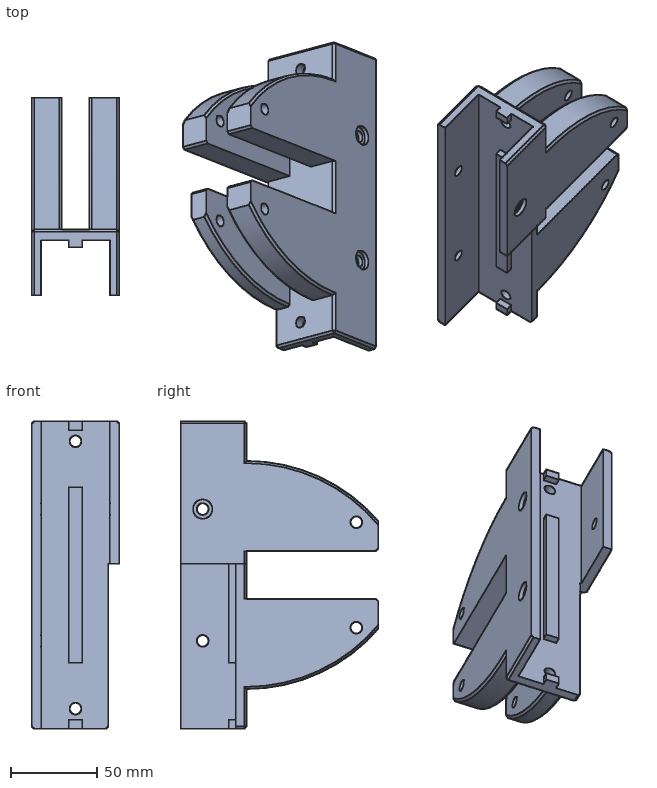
import cadquery as cq
import math


WIDTH = 50.8
DEPTH = 114.26
HEIGHT = 178.05
EDGE_CHAMFER = 1.4

CHANNEL_DEPTH = 38.1
WEB_THICKNESS = 6.35
WALL_THICKNESS = 5.56
SHORT_WALL_BOTTOM_Z = 6.35
NARROW_SIDE_X = 19.05

KEY_WIDTH = 8.0
KEY_HEIGHT = 4.0
END_KEY_LENGTH = 5.4
MIDDLE_KEY_LENGTH = 101.6

FIN_GAP = 15.875
FIN_HALF_HEIGHT = 66.04
FIN_ARC_RADIUS = 100.5
LEFT_SLOT_HALF_HEIGHT = 16.0
RIGHT_SLOT_HALF_HEIGHT = 13.8

HOLE_DIAMETER = 6.6
COUNTERBORE_DIAMETER = 11.18
COUNTERBORE_DEPTH = 2.54
WEB_HOLE_Z = 77.3
WALL_HOLE_Y = 12.7
WALL_HOLE_Z = 38.1
FIN_HOLE_TO_TIP = 12.7
FIN_HOLE_Z = 30.5

LEFT_X = -WIDTH / 2
RIGHT_X = WIDTH / 2
BOTTOM_Z = -HEIGHT / 2
TOP_Z = HEIGHT / 2
WEB_FRONT_Y = CHANNEL_DEPTH - WEB_THICKNESS


def block(x_range, y_range, z_range):
    """Box spanning the given (low, high) ranges."""
    sizes = [high - low for low, high in (x_range, y_range, z_range)]
    corner = (x_range[0], y_range[0], z_range[0])
    return cq.Workplane("XY").box(*sizes, centered=False).translate(corner)


def channel_block(right_x, z_range, end_face):
    """Solid stretch of the channel, chamfered on its sides, its back and one end."""
    body = block((LEFT_X, right_x), (0, CHANNEL_DEPTH), z_range)
    rim = body.faces(end_face).edges("|Y or >Y")
    back_corners = body.edges("|Z and >Y")
    return body.newObject(rim.vals() + back_corners.vals()).chamfer(EDGE_CHAMFER)


def make_channel():
    """Web and side walls; the +X wall is present only in the upper part."""
    upper = channel_block(RIGHT_X, (SHORT_WALL_BOTTOM_Z, TOP_Z), ">Z")
    lower = channel_block(NARROW_SIDE_X, (BOTTOM_Z, SHORT_WALL_BOTTOM_Z), "<Z")
    inside_x = RIGHT_X - WALL_THICKNESS
    inside = block((-inside_x, inside_x), (0, WEB_FRONT_Y), (BOTTOM_Z, TOP_Z))
    return upper.union(lower).cut(inside)


def make_key(z_low, z_high):
    """Rectangular key on the inner face of the web."""
    return block(
        (-KEY_WIDTH / 2, KEY_WIDTH / 2),
        (WEB_FRONT_Y - KEY_HEIGHT, WEB_FRONT_Y),
        (z_low, z_high),
    )


def arc_z(y):
    """Height of the fin's outer arc, which is level where it leaves the web."""
    drop = FIN_ARC_RADIUS - math.sqrt(FIN_ARC_RADIUS**2 - (y - CHANNEL_DEPTH) ** 2)
    return FIN_HALF_HEIGHT - drop


def make_fin(x_low, x_high, slot_half_height, side):
    """One fin above (side = 1) or below (side = -1) the slot, rooted in the web."""
    root_y = CHANNEL_DEPTH - EDGE_CHAMFER
    arc_middle_y = (CHANNEL_DEPTH + DEPTH) / 2
    fin = (
        cq.Workplane("YZ", origin=(x_low, 0, 0))
        .moveTo(root_y, side * slot_half_height)
        .lineTo(root_y, side * FIN_HALF_HEIGHT)
        .lineTo(CHANNEL_DEPTH, side * FIN_HALF_HEIGHT)
        .threePointArc((arc_middle_y, side * arc_z(arc_middle_y)), (DEPTH, side * arc_z(DEPTH)))
        .lineTo(DEPTH, side * (slot_half_height + EDGE_CHAMFER))
        .lineTo(DEPTH - EDGE_CHAMFER, side * slot_half_height)
        .close()
        .extrude(x_high - x_low)
    )
    return fin.edges("%CIRCLE").chamfer(EDGE_CHAMFER)


def make_fins():
    """Four fins: a pair on each side of the central gap."""
    fins = []
    for side, right_outer_x in ((1, RIGHT_X), (-1, NARROW_SIDE_X)):
        fins.append(make_fin(LEFT_X, -FIN_GAP / 2, LEFT_SLOT_HALF_HEIGHT, side))
        fins.append(make_fin(FIN_GAP / 2, right_outer_x, RIGHT_SLOT_HALF_HEIGHT, side))
    return fins


def cylinder_along_x(diameter, x_low, x_high, y, z):
    """Cylinder parallel to X, used as a drill."""
    direction = cq.Vector(1, 0, 0)
    return cq.Solid.makeCylinder(diameter / 2, x_high - x_low, cq.Vector(x_low, y, z), direction)


def make_drills():
    """Every hole and counterbore of the part."""
    drills = []
    for side in (1, -1):
        web_start = cq.Vector(0, 0, side * WEB_HOLE_Z)
        drills.append(
            cq.Solid.makeCylinder(HOLE_DIAMETER / 2, CHANNEL_DEPTH, web_start, cq.Vector(0, 1, 0))
        )
        for y, z in ((WALL_HOLE_Y, WALL_HOLE_Z), (DEPTH - FIN_HOLE_TO_TIP, FIN_HOLE_Z)):
            drills.append(cylinder_along_x(HOLE_DIAMETER, LEFT_X, RIGHT_X, y, side * z))
        for x_low in (LEFT_X, RIGHT_X - COUNTERBORE_DEPTH):
            x_high = x_low + COUNTERBORE_DEPTH
            drills.append(
                cylinder_along_x(COUNTERBORE_DIAMETER, x_low, x_high, WALL_HOLE_Y, side * WALL_HOLE_Z)
            )
    return drills


result = make_channel()
for key_range in (
    (BOTTOM_Z, BOTTOM_Z + END_KEY_LENGTH),
    (-MIDDLE_KEY_LENGTH / 2, MIDDLE_KEY_LENGTH / 2),
    (TOP_Z - END_KEY_LENGTH, TOP_Z),
):
    result = result.union(make_key(*key_range))
for fin in make_fins():
    result = result.union(fin)
for drill in make_drills():
    result = result.cut(cq.Workplane(drill))